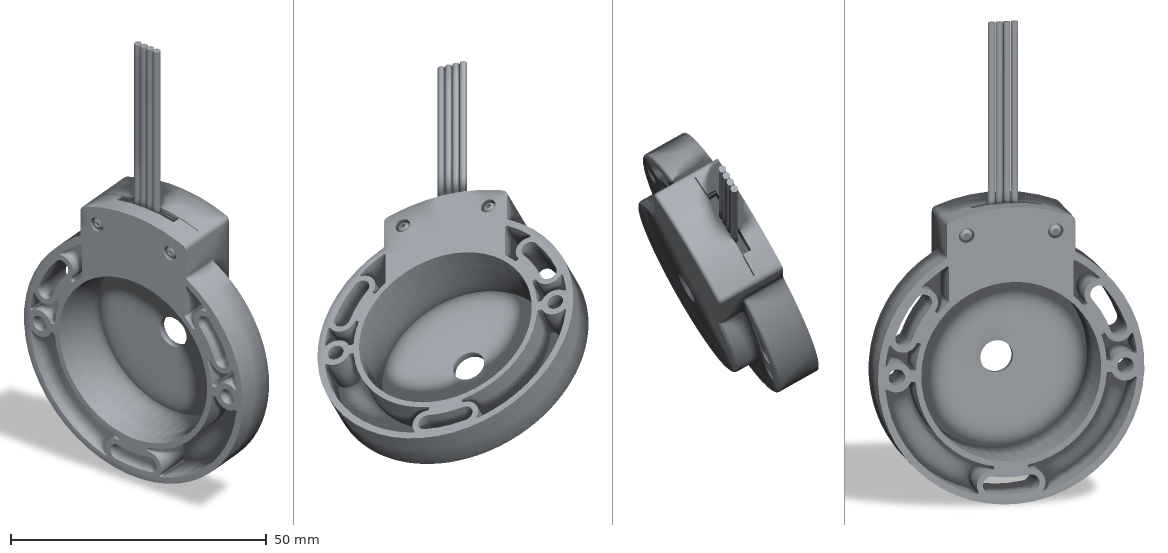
import cadquery as cq
import math

TOTAL_HEIGHT = 95.75
FLANGE_DIAMETER = 53.3
FLANGE_RADIUS = FLANGE_DIAMETER / 2
FLANGE_DEPTH = 9.0
HOUSING_DEPTH = 14.5
BOSS_RADIUS = 19.15
BORE_RADIUS = 18.0
BACK_WALL = 1.4
BORE_DEPTH = HOUSING_DEPTH - BACK_WALL
SHAFT_HOLE_RADIUS = 3.3

BLOCK_HALF_WIDTH = 12.8
BLOCK_TOP_RADIUS = 33.0
BLOCK_SHOULDER_ROUND = 1.15

BACK_ROUND = 0.7
FLANGE_ROUND = 0.6

MOUNT_RADIUS = 22.9
SLOT_ANGLES = (30, 150, 270)
SLOT_HALF_SWEEP = 10
SLOT_WIDTH = 3.35
SLOT_HALF_WIDTH = SLOT_WIDTH / 2
SLOT_BOSS_RADIUS = 2.9
MOUNT_HOLE_RADIUS = 1.6
MOUNT_HOLE_BOSS_RADIUS = 3.0
MOUNT_RIB_HALF_WIDTH = 1.1

POCKET_OUTER_RADIUS = 25.3
POCKET_INNER_RADIUS = BOSS_RADIUS
POCKET_DEPTH = FLANGE_DEPTH - BACK_WALL
POCKET_BLOCK_HALF_WIDTH = 12.4
POCKET_ROUND = 0.3

COVER_HALF_WIDTH = 11.5
COVER_DEPTH = 5.65
GROOVE_WIDTH = 0.3
GROOVE_FLOOR_RADIUS = 32.0

WIRE_NOTCH_HALF_WIDTH = 7.0
WIRE_NOTCH_STEP = 0.3
WIRE_NOTCH_FRONT = 3.8
WIRE_NOTCH_FLOOR_Z = 28.7

WIRE_COUNT = 4
WIRE_RADIUS = 0.72
WIRE_PITCH = 1.5
WIRE_CENTER_Y = COVER_DEPTH + GROOVE_WIDTH - WIRE_RADIUS
WIRE_ROW_CENTER_X = -0.5
WIRE_TOP_Z = TOTAL_HEIGHT - FLANGE_RADIUS

SCREW_X = 8.9
SCREW_Z = 27.8
SCREW_SEAT_RADIUS = 1.5
SCREW_HEAD_RADIUS = 1.3
SCREW_HEAD_HEIGHT = 1.15
SCREW_DOME_HEIGHT = 0.8
SCREW_SHANK_RADIUS = 0.8
SCREW_LENGTH = 8.6
SCREW_SOCKET_SIZE = 1.15
SCREW_SOCKET_DEPTH = 0.7

EDGE_TOLERANCE = 0.1


def sketch_at(y):
    """Workplane parallel to XZ at depth y; a negative extrusion runs toward +Y."""
    return cq.Workplane("XZ", origin=(0, y, 0))


def cylinder(radius, start, end, x=0, z=0):
    return sketch_at(start).center(x, z).circle(radius).extrude(start - end)


def box(half_width, bottom, top, start, end):
    height = top - bottom
    outline = sketch_at(start).center(0, bottom + height / 2).rect(2 * half_width, height)
    return outline.extrude(start - end)


def polar(radius, degrees):
    angle = math.radians(degrees)
    return radius * math.cos(angle), radius * math.sin(angle)


def ring_sector(inner, outer, middle_angle, half_sweep, depth):
    """Annular sector from y = 0 to depth."""
    first = middle_angle - half_sweep
    last = middle_angle + half_sweep
    outline = sketch_at(0).moveTo(*polar(inner, first)).lineTo(*polar(outer, first))
    outline = outline.threePointArc(polar(outer, middle_angle), polar(outer, last))
    outline = outline.lineTo(*polar(inner, last))
    outline = outline.threePointArc(polar(inner, middle_angle), polar(inner, first))
    return outline.close().extrude(-depth)


def slot_end_centers(angle):
    return [polar(MOUNT_RADIUS, angle + side * SLOT_HALF_SWEEP) for side in (-1, 1)]


def connector_block():
    """Block with a crowned top and rounded shoulders."""
    block = box(BLOCK_HALF_WIDTH, 0, BLOCK_TOP_RADIUS + BLOCK_SHOULDER_ROUND, 0, HOUSING_DEPTH)
    block = block.intersect(cylinder(BLOCK_TOP_RADIUS, 0, HOUSING_DEPTH))
    return block.faces("<X or >X").edges("|Y").edges(">Z").fillet(BLOCK_SHOULDER_ROUND)


def housing_blank():
    """Flange, boss and block, with the rear edges and the roots rounded."""
    core = cylinder(BOSS_RADIUS, 0, HOUSING_DEPTH).union(connector_block())
    core = core.faces(">Y").edges().fillet(BACK_ROUND)
    blank = core.union(cylinder(FLANGE_RADIUS, 0, FLANGE_DEPTH))
    rim_corner_z = math.sqrt(FLANGE_RADIUS**2 - BLOCK_HALF_WIDTH**2)
    flange_back = cq.selectors.BoxSelector(
        (-FLANGE_RADIUS, FLANGE_DEPTH - EDGE_TOLERANCE, -FLANGE_RADIUS),
        (FLANGE_RADIUS, FLANGE_DEPTH + EDGE_TOLERANCE, FLANGE_RADIUS),
    )
    rim_corners = cq.selectors.BoxSelector(
        (-FLANGE_RADIUS, 0, rim_corner_z - EDGE_TOLERANCE),
        (FLANGE_RADIUS, FLANGE_DEPTH, rim_corner_z + EDGE_TOLERANCE),
    )
    return blank.edges(flange_back + rim_corners).fillet(FLANGE_ROUND)


def pocket_ring():
    """Lightening pockets: a ring less the material kept around slots, holes and block."""
    ring = cylinder(POCKET_OUTER_RADIUS, 0, POCKET_DEPTH)
    ring = ring.cut(cylinder(POCKET_INNER_RADIUS, 0, POCKET_DEPTH))
    ring = ring.cut(box(POCKET_BLOCK_HALF_WIDTH, 0, FLANGE_RADIUS, 0, POCKET_DEPTH))
    for angle in SLOT_ANGLES:
        ring = ring.cut(ring_sector(BORE_RADIUS, FLANGE_RADIUS, angle, SLOT_HALF_SWEEP, POCKET_DEPTH))
        for x, z in slot_end_centers(angle):
            ring = ring.cut(cylinder(SLOT_BOSS_RADIUS, 0, POCKET_DEPTH, x, z))
    for x in (-MOUNT_RADIUS, MOUNT_RADIUS):
        ring = ring.cut(cylinder(MOUNT_HOLE_BOSS_RADIUS, 0, POCKET_DEPTH, x))
    ring = ring.cut(box(MOUNT_RADIUS, -MOUNT_RIB_HALF_WIDTH, MOUNT_RIB_HALF_WIDTH, 0, POCKET_DEPTH))
    return ring.edges("|Y").fillet(POCKET_ROUND)


def mounting_slot(angle):
    inner = MOUNT_RADIUS - SLOT_HALF_WIDTH
    outer = MOUNT_RADIUS + SLOT_HALF_WIDTH
    slot = ring_sector(inner, outer, angle, SLOT_HALF_SWEEP, FLANGE_DEPTH)
    for x, z in slot_end_centers(angle):
        slot = slot.union(cylinder(SLOT_HALF_WIDTH, 0, FLANGE_DEPTH, x, z))
    return slot


def cover_slab(depth):
    """Slab between the bore and the crown, as wide as the cover."""
    slab = box(COVER_HALF_WIDTH, 0, BLOCK_TOP_RADIUS, 0, depth)
    slab = slab.intersect(cylinder(BLOCK_TOP_RADIUS, 0, depth))
    return slab.cut(cylinder(BORE_RADIUS, 0, depth))


def screw_hole(x):
    """Head seat and shank hole of one screw."""
    seat = cylinder(SCREW_SEAT_RADIUS, 0, SCREW_HEAD_HEIGHT, x, SCREW_Z)
    return seat.union(cylinder(SCREW_SHANK_RADIUS, 0, SCREW_LENGTH, x, SCREW_Z))


def crown_groove():
    """Shallow groove behind the crown edge of the cover."""
    groove_back = COVER_DEPTH + GROOVE_WIDTH
    groove = box(COVER_HALF_WIDTH, 0, BLOCK_TOP_RADIUS, COVER_DEPTH, groove_back)
    return groove.cut(cylinder(GROOVE_FLOOR_RADIUS, COVER_DEPTH, groove_back))


def make_housing():
    body = housing_blank()
    body = body.cut(cylinder(BORE_RADIUS, 0, BORE_DEPTH))
    body = body.cut(cylinder(SHAFT_HOLE_RADIUS, 0, HOUSING_DEPTH))
    body = body.cut(cover_slab(COVER_DEPTH)).cut(crown_groove())
    body = body.cut(pocket_ring())
    for angle in SLOT_ANGLES:
        body = body.cut(mounting_slot(angle))
    for x in (-MOUNT_RADIUS, MOUNT_RADIUS):
        body = body.cut(cylinder(MOUNT_HOLE_RADIUS, 0, FLANGE_DEPTH, x))
    for x in (-SCREW_X, SCREW_X):
        body = body.cut(screw_hole(x))
    for index in range(WIRE_COUNT):
        body = body.cut(make_wire(index))
    return body


def make_cover():
    body = cover_slab(COVER_DEPTH)
    lower_half_width = WIRE_NOTCH_HALF_WIDTH - WIRE_NOTCH_STEP
    lower = box(lower_half_width, WIRE_NOTCH_FLOOR_Z, BLOCK_TOP_RADIUS, WIRE_NOTCH_FRONT, COVER_DEPTH)
    upper = box(WIRE_NOTCH_HALF_WIDTH, 0, BLOCK_TOP_RADIUS, WIRE_NOTCH_FRONT, COVER_DEPTH)
    upper = upper.cut(cylinder(GROOVE_FLOOR_RADIUS, 0, COVER_DEPTH))
    body = body.cut(lower).cut(upper)
    for x in (-SCREW_X, SCREW_X):
        body = body.cut(screw_hole(x))
    return body


def make_screw(x):
    dome_radius = (SCREW_HEAD_RADIUS**2 + SCREW_DOME_HEIGHT**2) / (2 * SCREW_DOME_HEIGHT)
    dome = cq.Workplane("XY").sphere(dome_radius).translate((x, dome_radius, SCREW_Z))
    shank = cylinder(SCREW_SHANK_RADIUS, SCREW_HEAD_HEIGHT, SCREW_LENGTH, x, SCREW_Z)
    head = cylinder(SCREW_HEAD_RADIUS, 0, SCREW_HEAD_HEIGHT, x, SCREW_Z).intersect(dome)
    socket = sketch_at(0).center(x, SCREW_Z).polygon(6, SCREW_SOCKET_SIZE).extrude(-SCREW_SOCKET_DEPTH)
    return head.union(shank).cut(socket)


def make_wire(index):
    x = WIRE_ROW_CENTER_X + (index - (WIRE_COUNT - 1) / 2) * WIRE_PITCH
    foot = cq.Workplane("XY", origin=(x, WIRE_CENTER_Y, WIRE_NOTCH_FLOOR_Z))
    return foot.circle(WIRE_RADIUS).extrude(WIRE_TOP_Z - WIRE_NOTCH_FLOOR_Z)


housing = make_housing()
cover = make_cover()
screws = [make_screw(x) for x in (-SCREW_X, SCREW_X)]
wires = [make_wire(index) for index in range(WIRE_COUNT)]

result = cq.Compound.makeCompound(
    [housing.val(), cover.val(), *[screw.val() for screw in screws], *[wire.val() for wire in wires]]
)